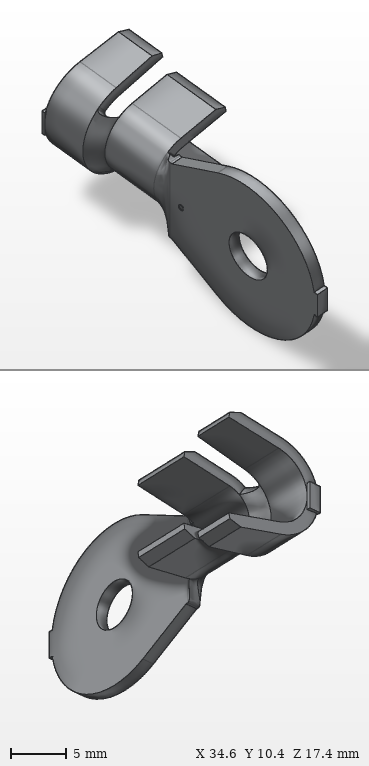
import cadquery as cq
import math

length = 34.6
thickness = 1.28
carrier_tab_half_width = 1.42

ring_x = 25.58
ring_radius = 8.72
stud_hole_radius = 2.5
plate_start_x = 15.4
taper_start_x = 15.65
plate_half_width = 4.75
dimple_x = 16.8
dimple_radius = 0.3
dimple_depth = 0.1

wire_start_x = 6.9
wire_end_x = 13.25
wire_radius = 4.05
wire_wing_angle = 8.7
wire_tip_y = 9.15

grip_end_x = 5.33
grip_radius = wire_radius + thickness
grip_wing_angle = 12.0
grip_tip_y = 8.83
grip_face_bottom_x = 0.28
grip_face_top_x = 1.05

bend_axis_y = wire_radius
grip_bottom_y = bend_axis_y - grip_radius

bevel_length = 1.1
bevel_depth = 0.7

rear_neck_grip_half_width = 4.22
neck_wire_half_width = 3.35
neck_steps = 6


def box(x0, x1, y0, y1, half_width):
    return cq.Workplane("XY").box(x1 - x0, y1 - y0, 2 * half_width).translate(
        ((x0 + x1) / 2, (y0 + y1) / 2, 0)
    )


def barrel(start_x, end_x, outer_radius, wing_angle, tip_y):
    """U-shaped barrel whose straight wings spread outward and end in bevelled tips."""
    inner_radius = outer_radius - thickness
    along_y = math.cos(math.radians(wing_angle))
    along_z = math.sin(math.radians(wing_angle))
    wing_length = (tip_y - bend_axis_y + inner_radius * along_z) / along_y

    def wing_point(along, radius, side):
        y = bend_axis_y + along * along_y - radius * along_z
        z = along * along_z + radius * along_y
        return (y, side * z)

    return (
        cq.Workplane("YZ", origin=(start_x, 0, 0))
        .moveTo(*wing_point(0, outer_radius, 1))
        .lineTo(*wing_point(wing_length - bevel_length, outer_radius, 1))
        .lineTo(*wing_point(wing_length, outer_radius - bevel_depth, 1))
        .lineTo(*wing_point(wing_length, inner_radius, 1))
        .lineTo(*wing_point(0, inner_radius, 1))
        .threePointArc((bend_axis_y - inner_radius, 0), wing_point(0, inner_radius, -1))
        .lineTo(*wing_point(wing_length, inner_radius, -1))
        .lineTo(*wing_point(wing_length, outer_radius - bevel_depth, -1))
        .lineTo(*wing_point(wing_length - bevel_length, outer_radius, -1))
        .lineTo(*wing_point(0, outer_radius, -1))
        .threePointArc((bend_axis_y - outer_radius, 0), wing_point(0, outer_radius, 1))
        .close()
        .extrude(end_x - start_x)
    )


def insulation_grip():
    """Insulation barrel with its wire-entry end cut along a sloping plane."""
    grip = barrel(0, grip_end_x, grip_radius, grip_wing_angle, grip_tip_y)
    sloping_waste = (
        cq.Workplane("XY")
        .polyline([
            (0, grip_bottom_y),
            (grip_face_bottom_x, grip_bottom_y),
            (grip_face_top_x, grip_tip_y),
            (0, grip_tip_y),
        ])
        .close()
        .extrude(2 * grip_radius, both=True)
    )
    return grip.cut(sloping_waste)


def edge_rise(radius, half_width):
    """Height of the edge of an arched strip above its lowest point."""
    return radius - math.sqrt(radius**2 - half_width**2)


def strip_section(x, bottom_y, half_width, rise):
    """Cross-section of an arched strip of constant thickness; zero rise is flat."""
    edge_angle = 2 * math.atan(rise / half_width)
    inner_z = half_width - thickness * math.sin(edge_angle)
    outer_y = bottom_y + rise
    inner_y = outer_y + thickness * math.cos(edge_angle)
    section = cq.Workplane("YZ", origin=(x, 0, 0)).moveTo(outer_y, -half_width)
    if rise > 0:
        section = (
            section.threePointArc((bottom_y, 0), (outer_y, half_width))
            .lineTo(inner_y, inner_z)
            .threePointArc((bottom_y + thickness, 0), (inner_y, -inner_z))
        )
    else:
        section = section.lineTo(outer_y, half_width).lineTo(inner_y, inner_z).lineTo(inner_y, -inner_z)
    return section.close().val()


def loft(sections):
    return cq.Workplane(cq.Solid.makeLoft(sections))


def rear_neck():
    """Conical neck between the barrels; its sides curve in and run out tangent at the wire barrel."""
    sections = []
    for step in range(neck_steps + 1):
        t = step / neck_steps
        flare = 1 - math.sqrt(1 - (1 - t) ** 2)
        half_width = neck_wire_half_width + flare * (rear_neck_grip_half_width - neck_wire_half_width)
        radius = grip_radius + t * (wire_radius - grip_radius)
        sections.append(
            strip_section(
                grip_end_x + t * (wire_start_x - grip_end_x),
                bend_axis_y - radius,
                half_width,
                edge_rise(radius, half_width),
            )
        )
    return loft(sections)


def front_neck():
    """Neck that flattens and widens in an S-curve from the wire barrel to the plate."""
    wire_rise = edge_rise(wire_radius, neck_wire_half_width)
    sections = []
    for step in range(neck_steps + 1):
        t = step / neck_steps
        blend = t * t * (3 - 2 * t)
        sections.append(
            strip_section(
                wire_end_x + t * (plate_start_x - wire_end_x),
                0,
                neck_wire_half_width + blend * (plate_half_width - neck_wire_half_width),
                wire_rise * (1 - blend),
            )
        )
    return loft(sections)


def ring_plate():
    """Flat plate whose sides taper out tangent to the ring."""
    run = ring_x - taper_start_x
    corner_distance = math.hypot(run, plate_half_width)
    tangent_angle = (
        math.pi - math.atan2(plate_half_width, run) - math.acos(ring_radius / corner_distance)
    )
    tangent_x = ring_x + ring_radius * math.cos(tangent_angle)
    tangent_z = ring_radius * math.sin(tangent_angle)
    plate = (
        cq.Workplane("XZ")
        .moveTo(plate_start_x, -plate_half_width)
        .lineTo(taper_start_x, -plate_half_width)
        .lineTo(tangent_x, -tangent_z)
        .threePointArc((ring_x + ring_radius, 0), (tangent_x, tangent_z))
        .lineTo(taper_start_x, plate_half_width)
        .lineTo(plate_start_x, plate_half_width)
        .close()
        .extrude(-thickness)
    )
    plate = plate.union(box(ring_x + stud_hole_radius, length, 0, thickness, carrier_tab_half_width))
    stud_hole = cq.Workplane("XZ").center(ring_x, 0).circle(stud_hole_radius).extrude(-thickness)
    dimple = cq.Workplane("XZ").center(dimple_x, 0).circle(dimple_radius).extrude(-dimple_depth)
    return plate.cut(stud_hole).cut(dimple)


def rear_carrier_tab():
    """Sheared tab on the sloping end of the insulation grip."""
    slope = (grip_face_top_x - grip_face_bottom_x) / (grip_tip_y - grip_bottom_y)
    tab_top_y = grip_bottom_y + thickness
    root_x = grip_face_bottom_x + slope * thickness
    return box(0, root_x, grip_bottom_y, tab_top_y, carrier_tab_half_width)


result = (
    insulation_grip()
    .union(rear_carrier_tab())
    .union(rear_neck())
    .union(barrel(wire_start_x, wire_end_x, wire_radius, wire_wing_angle, wire_tip_y))
    .union(front_neck())
    .union(ring_plate())
)